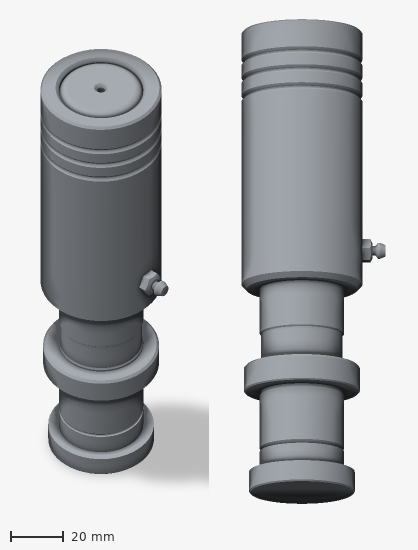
import cadquery as cq
import math

TOTAL_HEIGHT = 179.0
PILLAR_RADIUS = 32.0 / 2

BUSHING_RADIUS = 46.0 / 2
BUSHING_LENGTH = 100.0
BUSHING_BOTTOM = TOTAL_HEIGHT - BUSHING_LENGTH
BUSHING_TOP_CHAMFER = 0.9
BUSHING_FOOT_CHAMFER = 2.0
BORE_MOUTH_CHAMFER = 1.3
GROOVE_COUNT = 3
GROOVE_PITCH = 7.0
FIRST_GROOVE_DROP = 12.0
GROOVE_HALF_WIDTH = 1.3
GROOVE_FLOOR_HALF_WIDTH = 0.2
GROOVE_DEPTH = 1.0

PLUG_HEIGHT = 15.8
PLUG_NECK_RADIUS = PILLAR_RADIUS
PLUG_FLANGE_RADIUS = 40.1 / 2
PLUG_FLANGE_HEIGHT = 8.0
PLUG_FLANGE_CHAMFER = 0.5

PILLAR_TOP_ROUND = 3.4
PILLAR_FOOT_CHAMFER = 1.5
COLLAR_RADIUS = 44.0 / 2
COLLAR_BOTTOM = 39.0
COLLAR_HEIGHT = 10.0
COLLAR_TOP = COLLAR_BOTTOM + COLLAR_HEIGHT
COLLAR_TOP_CHAMFER = 0.9
COLLAR_FOOT_CHAMFER = 0.5
RELIEF_DEPTH = 0.5
RELIEF_RADIUS = PILLAR_RADIUS - RELIEF_DEPTH
RELIEF_TOP = 61.8
RELIEF_FLARE = 1.3
UNDERCUT_HEIGHT = 0.9
CENTRE_MOUTH_RADIUS = 2.7
CENTRE_HOLE_RADIUS = 1.5
CENTRE_HOLE_DEPTH = 5.4

NIPPLE_ANGLE = -15.0
NIPPLE_HEIGHT = BUSHING_BOTTOM + 15.0
SHANK_RADIUS = 2.9
HEX_ACROSS_FLATS = 8.0
HEX_LENGTH = 3.8
HEX_CORNER_RADIUS = HEX_ACROSS_FLATS / 2 / math.cos(math.pi / 6)
HEX_FACE_RADIUS = 2.9
HEX_CHAMFER_LENGTH = 0.9
NIPPLE_NECK_RADIUS = 1.8
HEAD_RADIUS = 3.0
HEAD_TIP_RADIUS = 2.1
NIPPLE_NECK_END = 1.0
HEAD_START = 2.1
HEAD_END = 2.9
HEAD_LENGTH = 5.0


def revolved(points):
    """Turn a closed (radius, height) outline about the Z axis."""
    return cq.Workplane("XZ").polyline(points).close().revolve(360, (0, 0, 0), (0, 1, 0))


def on_nipple_axis(shape):
    """Turn a shape built along +Z so that it points radially outward along the nipple axis."""
    return (
        shape.rotate((0, 0, 0), (0, 1, 0), 90)
        .rotate((0, 0, 0), (0, 0, 1), NIPPLE_ANGLE)
        .translate((0, 0, NIPPLE_HEIGHT))
    )


def shank():
    """Cylinder that runs from the pillar surface to the hexagon, through the bushing wall."""
    cylinder = cq.Workplane("XY").circle(SHANK_RADIUS).extrude(BUSHING_RADIUS)
    pillar_space = cq.Workplane("XY").circle(PILLAR_RADIUS).extrude(TOTAL_HEIGHT)
    return on_nipple_axis(cylinder).cut(pillar_space)


def make_bushing():
    outline = [
        (PILLAR_RADIUS, BUSHING_BOTTOM),
        (BUSHING_RADIUS - BUSHING_FOOT_CHAMFER, BUSHING_BOTTOM),
        (BUSHING_RADIUS, BUSHING_BOTTOM + BUSHING_FOOT_CHAMFER),
        (BUSHING_RADIUS, TOTAL_HEIGHT - BUSHING_TOP_CHAMFER),
        (BUSHING_RADIUS - BUSHING_TOP_CHAMFER, TOTAL_HEIGHT),
        (PILLAR_RADIUS + BORE_MOUTH_CHAMFER, TOTAL_HEIGHT),
        (PILLAR_RADIUS, TOTAL_HEIGHT - BORE_MOUTH_CHAMFER),
    ]
    bushing = revolved(outline)
    for index in range(GROOVE_COUNT):
        centre = TOTAL_HEIGHT - FIRST_GROOVE_DROP - index * GROOVE_PITCH
        bushing = bushing.cut(groove(centre))
    return bushing.cut(shank())


def groove(centre):
    """Ring with sloping walls, to be cut from the outside of the bushing."""
    floor = BUSHING_RADIUS - GROOVE_DEPTH
    return revolved([
        (BUSHING_RADIUS, centre - GROOVE_HALF_WIDTH),
        (floor, centre - GROOVE_FLOOR_HALF_WIDTH),
        (floor, centre + GROOVE_FLOOR_HALF_WIDTH),
        (BUSHING_RADIUS, centre + GROOVE_HALF_WIDTH),
    ])


def make_pillar():
    shaft = (
        cq.Workplane("XY").workplane(offset=PLUG_HEIGHT)
        .circle(PILLAR_RADIUS).extrude(TOTAL_HEIGHT - PLUG_HEIGHT)
        .faces(">Z").edges().fillet(PILLAR_TOP_ROUND)
        .faces("<Z").edges().chamfer(PILLAR_FOOT_CHAMFER)
    )
    collar = (
        cq.Workplane("XY").workplane(offset=COLLAR_BOTTOM)
        .circle(COLLAR_RADIUS).extrude(COLLAR_HEIGHT)
        .faces(">Z").edges().chamfer(COLLAR_TOP_CHAMFER)
        .faces("<Z").edges().chamfer(COLLAR_FOOT_CHAMFER)
    )
    upper_relief = revolved([
        (RELIEF_RADIUS, COLLAR_TOP + RELIEF_FLARE),
        (RELIEF_RADIUS, RELIEF_TOP - RELIEF_DEPTH),
        (PILLAR_RADIUS, RELIEF_TOP),
        (COLLAR_RADIUS, RELIEF_TOP),
        (COLLAR_RADIUS, COLLAR_TOP),
        (RELIEF_RADIUS + RELIEF_FLARE, COLLAR_TOP),
    ])
    lower_undercut = revolved([
        (RELIEF_RADIUS, COLLAR_BOTTOM),
        (RELIEF_RADIUS, COLLAR_BOTTOM - UNDERCUT_HEIGHT),
        (PILLAR_RADIUS, COLLAR_BOTTOM - UNDERCUT_HEIGHT - RELIEF_DEPTH),
        (PILLAR_RADIUS, COLLAR_BOTTOM),
    ])
    return shaft.union(collar).cut(upper_relief).cut(lower_undercut).cut(centre_hole())


def centre_hole():
    """Countersunk blind hole in the pillar's top face."""
    countersink_depth = CENTRE_MOUTH_RADIUS - CENTRE_HOLE_RADIUS
    return revolved([
        (0, TOTAL_HEIGHT),
        (CENTRE_MOUTH_RADIUS, TOTAL_HEIGHT),
        (CENTRE_HOLE_RADIUS, TOTAL_HEIGHT - countersink_depth),
        (CENTRE_HOLE_RADIUS, TOTAL_HEIGHT - CENTRE_HOLE_DEPTH),
        (0, TOTAL_HEIGHT - CENTRE_HOLE_DEPTH),
    ])


def make_plug():
    return revolved([
        (0, 0),
        (PLUG_FLANGE_RADIUS - PLUG_FLANGE_CHAMFER, 0),
        (PLUG_FLANGE_RADIUS, PLUG_FLANGE_CHAMFER),
        (PLUG_FLANGE_RADIUS, PLUG_FLANGE_HEIGHT),
        (PLUG_NECK_RADIUS, PLUG_FLANGE_HEIGHT),
        (PLUG_NECK_RADIUS, PLUG_HEIGHT),
        (0, PLUG_HEIGHT),
    ])


def make_nipple():
    base = BUSHING_RADIUS
    face = base + HEX_LENGTH
    hexagon = (
        cq.Workplane("XY").workplane(offset=base)
        .polygon(6, 2 * HEX_CORNER_RADIUS).extrude(HEX_LENGTH)
        .rotate((0, 0, 0), (0, 0, 1), 90)
    )
    hex_limit = revolved([
        (0, base),
        (HEX_CORNER_RADIUS, base),
        (HEX_CORNER_RADIUS, face - HEX_CHAMFER_LENGTH),
        (HEX_FACE_RADIUS, face),
        (0, face),
    ])
    head = revolved([
        (0, face),
        (NIPPLE_NECK_RADIUS, face),
        (NIPPLE_NECK_RADIUS, face + NIPPLE_NECK_END),
        (HEAD_RADIUS, face + HEAD_START),
        (HEAD_RADIUS, face + HEAD_END),
        (HEAD_TIP_RADIUS, face + HEAD_LENGTH),
        (0, face + HEAD_LENGTH),
    ])
    outside = hexagon.intersect(hex_limit).union(head)
    return on_nipple_axis(outside).union(shank())


bushing = make_bushing()
pillar = make_pillar()
plug = make_plug()
nipple = make_nipple()

result = cq.Compound.makeCompound([bushing.val(), pillar.val(), plug.val(), nipple.val()])